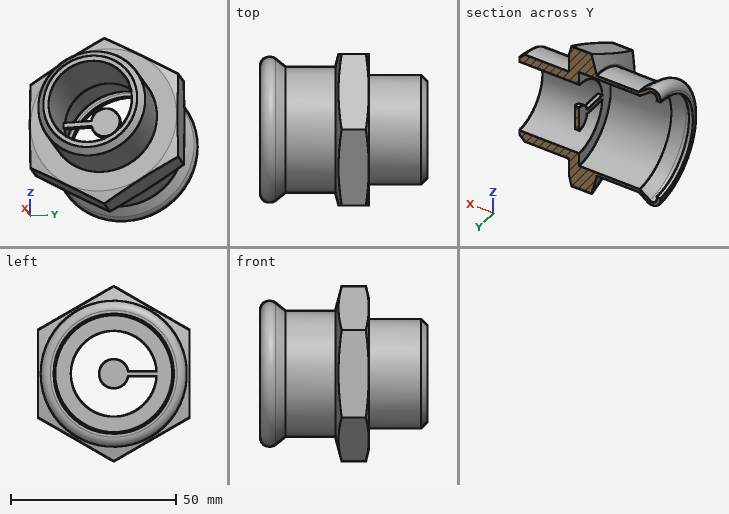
import cadquery as cq
import math

total_length = 50.8
hex_across_corners = 53.1
hex_start = 22.95
hex_end = 33.05
hex_front_radius = 19.75
hex_corner_setback = 1.8
hex_back_radius = 22.75
hex_back_setback = 0.95

socket_radius = 38.3 / 2
bead_radius = 2.9
bead_center_radius = 19.25
bead_cone_end = 7.7
cavity_cone_end = 7.45
wall = 1.45
lip_radius = 18.2
step_depth = 29.2

spigot_radius = 33.25 / 2
spigot_chamfer = 2.0
throat_radius = 12.95

disc_radius = 4.45
arm_width = 1.65
disc_thickness = 1.6

bore_radius = socket_radius - wall
corner_radius = hex_across_corners / 2


def revolve_about_x(sketch):
    """Turn a closed profile, drawn as (axial, radial), about the X axis."""
    return sketch.close().revolve(360, (0, 0, 0), (1, 0, 0))


def tangent_angle(circle_radius, cone_end, end_radius):
    """Angle from X of the circle point whose tangent runs to the cone's end."""
    axial = cone_end - bead_radius
    radial = end_radius - bead_center_radius
    return math.atan2(radial, axial) + math.acos(circle_radius / math.hypot(axial, radial))


def bead_point(circle_radius, angle):
    """Point on a circle about the center of the bead section."""
    return (
        bead_radius + circle_radius * math.cos(angle),
        bead_center_radius + circle_radius * math.sin(angle),
    )


def bead_outline(sketch, circle_radius, cone_end, end_radius):
    """Add an arc over the bead and the cone leading to the straight wall."""
    angle = tangent_angle(circle_radius, cone_end, end_radius)
    middle = bead_point(circle_radius, (math.pi + angle) / 2)
    return sketch.threePointArc(middle, bead_point(circle_radius, angle)).lineTo(cone_end, end_radius)


def turned_body():
    sketch = cq.Workplane("XY").moveTo(0, 0).lineTo(0, bead_center_radius)
    sketch = bead_outline(sketch, bead_radius, bead_cone_end, socket_radius)
    sketch = (
        sketch.lineTo(hex_end, socket_radius)
        .lineTo(hex_end, spigot_radius)
        .lineTo(total_length - spigot_chamfer, spigot_radius)
        .lineTo(total_length, spigot_radius - spigot_chamfer)
        .lineTo(total_length, 0)
    )
    return revolve_about_x(sketch)


def hexagon():
    """Hexagon with corners on Z, chamfered by a cone at both ends."""
    prism = (
        cq.Workplane("YZ", origin=(hex_start, 0, 0))
        .polygon(6, hex_across_corners)
        .extrude(hex_end - hex_start)
        .rotate((0, 0, 0), (1, 0, 0), 90)
    )
    envelope = (
        cq.Workplane("XY")
        .moveTo(hex_start, 0)
        .lineTo(hex_start, hex_front_radius)
        .lineTo(hex_start + hex_corner_setback, corner_radius)
        .lineTo(hex_end - hex_back_setback, corner_radius)
        .lineTo(hex_end, hex_back_radius)
        .lineTo(hex_end, 0)
    )
    return prism.intersect(revolve_about_x(envelope))


def socket_cavity():
    """Mouth, seal groove inside the bead, and bore down to the step."""
    groove_radius = bead_radius - wall
    sketch = (
        cq.Workplane("XY")
        .lineTo(0, lip_radius)
        .lineTo(wall, lip_radius)
        .lineTo(wall, bead_center_radius)
    )
    sketch = bead_outline(sketch, groove_radius, cavity_cone_end, bore_radius)
    sketch = sketch.lineTo(step_depth, bore_radius).lineTo(step_depth, 0)
    return revolve_about_x(sketch)


def throat():
    length = total_length - step_depth
    return cq.Workplane("YZ", origin=(step_depth, 0, 0)).circle(throat_radius).extrude(length)


def disc_and_arm():
    """Central disc and the arm that joins it to the throat wall on the -Y side."""
    reach = (throat_radius + spigot_radius) / 2
    plane = cq.Workplane("YZ", origin=(step_depth, 0, 0))
    disc = plane.circle(disc_radius).extrude(disc_thickness)
    arm = plane.center(-reach / 2, 0).rect(reach, arm_width).extrude(disc_thickness)
    return disc.union(arm)


result = turned_body().union(hexagon()).cut(socket_cavity()).cut(throat()).union(disc_and_arm())